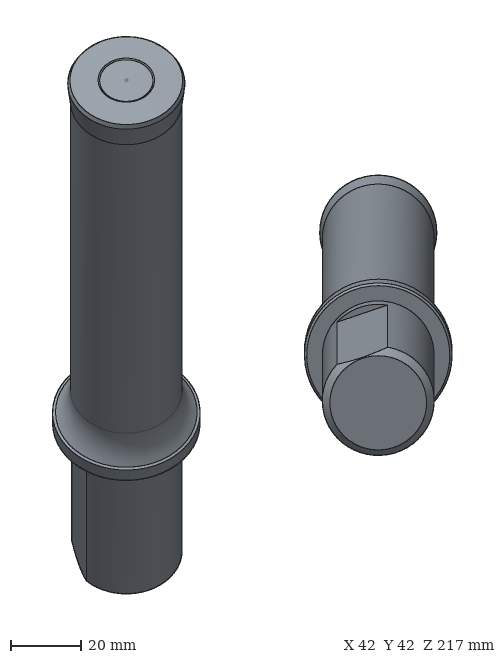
import cadquery as cq
import math

total_length = 217.0
collar_bottom = 60.0
collar_top = 65.3
flare_foot = 65.5
flare_top = 75.7
head_bottom = 207.5

body_radius = 32.0 / 2
collar_radius = 42.0 / 2
head_radius = 33.5 / 2
flare_foot_radius = 20.2

shank_chamfer_height = 2.4
shank_chamfer_width = 2.2
collar_chamfer = 0.7
head_chamfer_height = 1.3
head_chamfer_width = 0.7

flat_top = 55.5
flat_depth = 2.0

rim_drop = 0.2
core_radius = 7.5
core_step_width = 0.5
relief_depth = 0.2
centre_radius = 0.5


def make_holder():
    """Turned shank, collar, flare and long body, with one clamping flat."""
    flare_width = flare_foot_radius - body_radius
    flare_height = flare_top - flare_foot
    flare_radius = (flare_width**2 + flare_height**2) / (2 * flare_width)
    half_angle = math.asin(flare_height / flare_radius) / 2
    flare_middle = (
        body_radius + flare_radius * (1 - math.cos(half_angle)),
        flare_top - flare_radius * math.sin(half_angle),
    )

    turned = (
        cq.Workplane("XZ")
        .moveTo(0, 0)
        .lineTo(body_radius - shank_chamfer_width, 0)
        .lineTo(body_radius, shank_chamfer_height)
        .lineTo(body_radius, collar_bottom)
        .lineTo(collar_radius - collar_chamfer, collar_bottom)
        .lineTo(collar_radius, collar_bottom + collar_chamfer)
        .lineTo(collar_radius, collar_top)
        .lineTo(flare_foot_radius, flare_foot)
        .threePointArc(flare_middle, (body_radius, flare_top))
        .lineTo(body_radius, head_bottom)
        .lineTo(0, head_bottom)
        .close()
        .revolve(360, (0, 0, 0), (0, 1, 0))
    )
    flat_cutter = (
        cq.Workplane("XY")
        .box(2 * body_radius, body_radius, flat_top, centered=(True, False, False))
        .translate((0, flat_depth - 2 * body_radius, 0))
    )
    return turned.cut(flat_cutter)


def make_head():
    """Cutting head that widens toward its end, with a shallow central cone."""
    rim_height = total_length - rim_drop
    relief_floor = total_length - relief_depth
    return (
        cq.Workplane("XZ")
        .moveTo(0, head_bottom)
        .lineTo(body_radius, head_bottom)
        .lineTo(head_radius, rim_height - head_chamfer_height)
        .lineTo(head_radius - head_chamfer_width, rim_height)
        .lineTo(core_radius + core_step_width, total_length)
        .lineTo(core_radius, relief_floor)
        .lineTo(centre_radius, total_length)
        .lineTo(0, total_length)
        .close()
        .revolve(360, (0, 0, 0), (0, 1, 0))
    )


holder = make_holder()
head = make_head()
result = cq.Compound.makeCompound([holder.val(), head.val()])